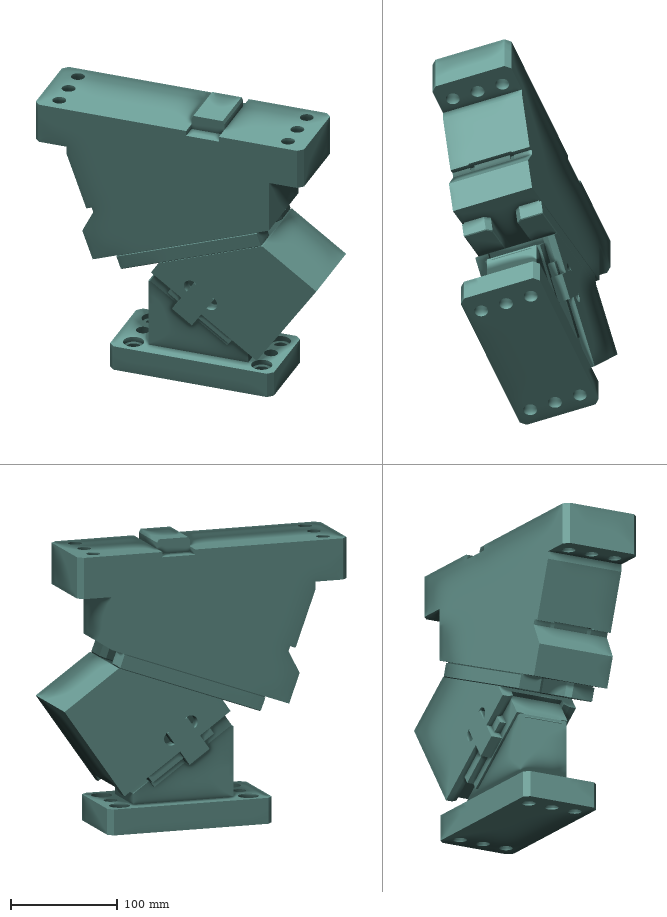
import cadquery as cq
import math

overall_length = 284.3
width = 80.0
half_width = width / 2
corner_chamfer = 5.0
bolt_hole_diameter = 13.0
bolt_edge_distance = 20.0
bolt_pitch = 25.0

holder_angle = 20
slab_length = 270.0
slab_bottom = 230.0
slab_top = 269.8
web_left = 32.7
web_right = 236.5
tip_x = 59.0
tip_z = 114.3
nose_height = 30.7
notch_bottom = 47.5
notch_top = 52.3
notch_depth = 18.0
flank_offset = 12.2
lip_relief_width = 43.8
lip_relief_height = 1.0
notch_slot_width = 4.0
key_left = 153.2
key_length = 33.0
key_width = 50.5
key_rise = 9.0
key_seat_depth = 5.0
key_chamfer_run = 1.7
key_chamfer_drop = 3.0
strip_start = 25.0
strip_length = 150.0
strip_bottom = 14.8
strip_gap = 1.0
strip_gap_depth = 2.0
strip_edge_chamfer = 0.9
strip_inner = 12.5
strip_lead_in = 5.0

slide_angle = 35
slide_length = 130.0
slide_height = 104.5
slide_z = 111.5
keeper_start = 37.2
keeper_end = 61.7
keeper_depth = 16.5
keeper_inner = 28.5
keeper_top = 22.5
keeper_hole_radius = 6.8
keeper_hole_height = 16.2

guide_start = 4.8
guide_end = 99.5
guide_half_width = 27.5
guide_top = 8.5
flare_half_width = 33.3
flare_rise = 2.8
ledge_start = 24.5
ledge_half_width = 34.5
ledge_bottom = -9.5
ledge_clearance = 0.5
tongue_half_width = 20.2
tongue_bottom = -22.0

foot_left = 74.8
foot_length = 165.0
foot_height = 25.0
base_web_left = 109.7
base_web_right = 210.0
base_web_top = 93.5
base_web_half_width = 25.0
foot_right_hole_distance = 16.0
counterbore_diameter = 20.0
counterbore_depth = 5.0

holder_cos = math.cos(math.radians(holder_angle))
holder_sin = math.sin(math.radians(holder_angle))
slide_cos = math.cos(math.radians(slide_angle))
slide_sin = math.sin(math.radians(slide_angle))
slide_x = overall_length - slide_length * slide_cos - slide_height * slide_sin
keeper_thickness = half_width - keeper_inner


def holder_point(along, up):
    """X and Z of a point given along and square to the inclined underside of the holder."""
    return (tip_x + along * holder_cos - up * holder_sin, tip_z + along * holder_sin + up * holder_cos)


def slide_point(along, up):
    """X and Z of a point given along and square to the inclined underside of the slide."""
    return (slide_x + along * slide_cos + up * slide_sin, slide_z - along * slide_sin + up * slide_cos)


def prism(points, y_from, y_to):
    """Solid with an outline in X and Z, reaching from y_from to y_to."""
    return cq.Workplane("XZ", origin=(0, y_from, 0)).polyline(points).close().extrude(y_from - y_to)


def rectangle(to_xz, left, bottom, right, top):
    """Corners of a rectangle drawn in an inclined frame."""
    return [to_xz(left, bottom), to_xz(right, bottom), to_xz(right, top), to_xz(left, top)]


def both_sides(body):
    """A feature together with its mirror image across the middle plane."""
    return body.union(body.mirror("XZ"))


def slide_section(points, start, end):
    """Solid with an outline across the guide (Y, height), reaching along the guide from start to end."""
    x, z = slide_point(start, 0)
    plane = cq.Plane(origin=(x, 0, z), xDir=(0, 1, 0), normal=(slide_cos, 0, -slide_sin))
    return cq.Workplane(plane).polyline(points).close().extrude(end - start)


def chamfered_plate(left, length, bottom, top):
    """Full-width plate with its four upright corners chamfered."""
    plate = cq.Workplane("XY").box(length, width, top - bottom, centered=(False, True, False))
    return plate.edges("|Z").chamfer(corner_chamfer).translate((left, 0, bottom))


def make_strip():
    """Slide strip on the +Y side with lead-in corners and a shallow gap under the holder."""
    x, z = holder_point(strip_start, -strip_bottom)
    plane = cq.Plane(origin=(x, 0, z), xDir=(holder_cos, 0, holder_sin), normal=(-holder_sin, 0, holder_cos))
    plan = [
        (0, half_width),
        (0, strip_inner + strip_lead_in),
        (strip_lead_in, strip_inner),
        (strip_length - strip_lead_in, strip_inner),
        (strip_length, strip_inner + strip_lead_in),
        (strip_length, half_width),
    ]
    strip = cq.Workplane(plane).polyline(plan).close().extrude(strip_bottom)
    lowest = cq.selectors.DirectionMinMaxSelector(cq.Vector(holder_sin, 0, -holder_cos))
    strip = strip.faces(lowest).edges().chamfer(strip_edge_chamfer)
    gap = rectangle(holder_point, strip_start, -strip_gap, strip_start + strip_length, 0)
    return strip.cut(prism(gap, half_width - strip_gap_depth, half_width))


def make_holder():
    flank_x, flank_z = holder_point(flank_offset, 0)
    flank_top_z = flank_z + (flank_x - web_left) * holder_cos / holder_sin
    web = prism(
        [
            (web_left, slab_bottom),
            (web_left, flank_top_z),
            holder_point(flank_offset, notch_top),
            holder_point(notch_depth, notch_top),
            holder_point(notch_depth, notch_bottom),
            holder_point(0, nose_height),
            holder_point(0, 0),
            (web_right, tip_z + (web_right - tip_x) * holder_sin / holder_cos),
            (web_right, slab_bottom),
        ],
        -half_width,
        half_width,
    )
    holder = chamfered_plate(0, slab_length, slab_bottom, slab_top).union(web)

    lip_relief = rectangle(holder_point, flank_offset, notch_top, notch_depth, notch_top + lip_relief_height)
    holder = holder.cut(prism(lip_relief, -lip_relief_width / 2, lip_relief_width / 2))
    slot_bottom = holder_point(notch_depth, notch_bottom)
    slot_top = holder_point(notch_depth, notch_top + lip_relief_height)
    slot_outline = [slot_bottom, slot_top, (slot_bottom[0], slot_top[1])]
    slot_outer = lip_relief_width / 2
    holder = holder.cut(both_sides(prism(slot_outline, slot_outer - notch_slot_width, slot_outer)))

    for x in (bolt_edge_distance, slab_length - bolt_edge_distance):
        for y in (-bolt_pitch, 0, bolt_pitch):
            hole = cq.Workplane("XY").circle(bolt_hole_diameter / 2).extrude(slab_top - slab_bottom)
            holder = holder.cut(hole.translate((x, y, slab_bottom)))

    seat_z = slab_top - key_seat_depth
    seat = cq.Workplane("XY").box(key_length, width, key_seat_depth, centered=(False, True, False))
    holder = holder.cut(seat.translate((key_left, 0, seat_z)))
    key_right = key_left + key_length
    key_top = slab_top + key_rise
    key_outline = [
        (key_left, seat_z),
        (key_left, key_top - key_chamfer_drop),
        (key_left + key_chamfer_run, key_top),
        (key_right - key_chamfer_run, key_top),
        (key_right, key_top - key_chamfer_drop),
        (key_right, seat_z),
    ]
    holder = holder.union(prism(key_outline, -key_width / 2, key_width / 2))

    return holder.union(both_sides(make_strip()))


def make_keeper_hole(along):
    """Round recess in the +Y face of the slide."""
    x, z = slide_point(along, keeper_hole_height)
    hole = cq.Workplane("XZ").circle(keeper_hole_radius).extrude(-keeper_thickness)
    return hole.translate((x, keeper_inner, z))


def make_slide():
    block = prism(rectangle(slide_point, 0, 0, slide_length, slide_height), -half_width, half_width)
    above_strips = rectangle(holder_point, 0, -strip_bottom, web_right, slab_top)
    slide = block.cut(prism(above_strips, -half_width, half_width))

    channel = [
        (-flare_half_width, 0),
        (-guide_half_width, flare_rise),
        (-guide_half_width, guide_top),
        (guide_half_width, guide_top),
        (guide_half_width, flare_rise),
        (flare_half_width, 0),
    ]
    slide = slide.cut(slide_section(channel, 0, slide_length))

    holes = make_keeper_hole(keeper_start).union(make_keeper_hole(keeper_end))
    slide = slide.cut(both_sides(holes))

    keeper_outline = rectangle(slide_point, keeper_start, -keeper_depth, keeper_end, keeper_top)
    keeper = prism(keeper_outline, keeper_inner, half_width)
    ledge_slot = [
        (guide_half_width, ledge_bottom),
        (ledge_half_width, ledge_bottom),
        (ledge_half_width, 0),
        (flare_half_width, 0),
        (guide_half_width, flare_rise),
    ]
    keeper = keeper.cut(slide_section(ledge_slot, keeper_start, keeper_end))
    return slide.union(both_sides(keeper))


def make_guide():
    """Inclined guide with side ledges under the slide and a tongue let into the web."""
    rail_outline = rectangle(slide_point, guide_start, -keeper_depth, guide_end, guide_top)
    rail = prism(rail_outline, -guide_half_width, guide_half_width)
    tongue_outline = rectangle(slide_point, guide_start, tongue_bottom, guide_end, -keeper_depth)
    tongue = prism(tongue_outline, -tongue_half_width, tongue_half_width)
    ledge_profile = [
        (guide_half_width, ledge_bottom),
        (ledge_half_width, ledge_bottom),
        (ledge_half_width, -ledge_clearance),
        (flare_half_width, -ledge_clearance),
        (guide_half_width, flare_rise - ledge_clearance),
    ]
    ledge = slide_section(ledge_profile, ledge_start, guide_end)
    return rail.union(tongue).union(both_sides(ledge))


def incline_z(x):
    """Height of the inclined top of the web, level with the underside of the ledges."""
    incline_x, incline_start_z = slide_point(0, ledge_bottom)
    return incline_start_z - (x - incline_x) * slide_sin / slide_cos


def make_base():
    base = chamfered_plate(foot_left, foot_length, 0, foot_height)
    for x in (foot_left + bolt_edge_distance, foot_left + foot_length - foot_right_hole_distance):
        dowel = cq.Workplane("XY").circle(bolt_hole_diameter / 2).extrude(foot_height)
        base = base.cut(dowel.translate((x, 0, 0)))
        for y in (-bolt_pitch, bolt_pitch):
            base = base.cut(dowel.translate((x, y, 0)))
            counterbore = cq.Workplane("XY").circle(counterbore_diameter / 2).extrude(counterbore_depth)
            base = base.cut(counterbore.translate((x, y, foot_height - counterbore_depth)))

    flat_end = base_web_left + (incline_z(base_web_left) - base_web_top) * slide_cos / slide_sin
    web = prism(
        [
            (base_web_left, foot_height),
            (base_web_right, foot_height),
            (base_web_right, incline_z(base_web_right)),
            (flat_end, base_web_top),
            (base_web_left, base_web_top),
        ],
        -base_web_half_width,
        base_web_half_width,
    )
    return base.union(web).union(make_guide())


holder = make_holder()
slide = make_slide()
base = make_base()

result = cq.Compound.makeCompound([holder.val(), slide.val(), base.val()])